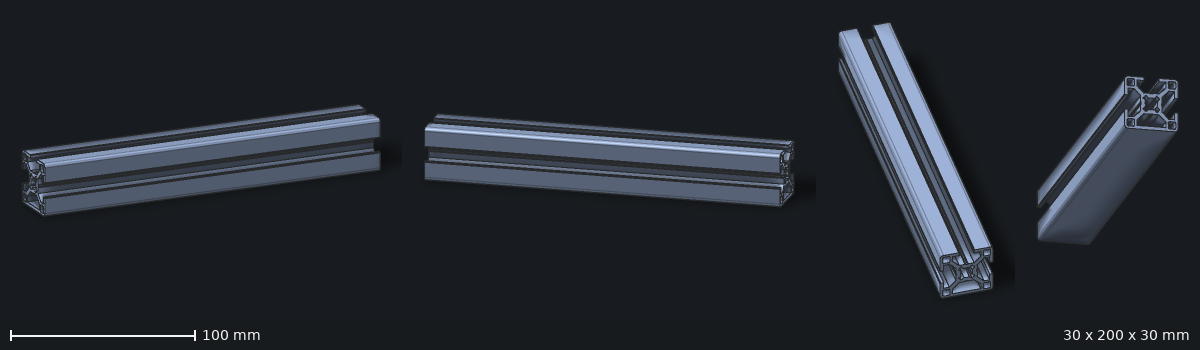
import cadquery as cq

length = 200.0
side = 30.0
half = side / 2
corner_radius = 2.0

wall = 2.0
slot_opening = 8.2
lip_chamfer = 0.5
slot_half_width = 8.0
core_half = 6.0
rib_offset = 1.8

groove_width = 1.8
groove_depth = 0.2
groove_bottom_width = 0.8

bore_radius = 3.5
relief_span = 10.8
relief_width = 2.2

corner_hole_inset = 1.5
corner_hole_side = 4.2
corner_hole_radius = 1.0

section = cq.Workplane("XZ", origin=(0, length / 2, 0))


def slot_cavity():
    """Inside of the T-slot facing +Z, bounded by two ribs, the core and the outer wall."""
    floor_half_width = core_half - rib_offset
    right_side = [
        (groove_bottom_width / 2, core_half - groove_depth),
        (groove_width / 2, core_half),
        (floor_half_width, core_half),
        (slot_half_width, slot_half_width + rib_offset),
        (slot_half_width, half - wall),
    ]
    left_side = [(-x, z) for x, z in reversed(right_side)]
    return section.polyline(right_side + left_side).close().extrude(length)


def slot_mouth():
    """Gap between the two lips of the T-slot facing +Z, flared at its outer edges."""
    right_side = [
        (slot_opening / 2, half - wall),
        (slot_opening / 2, half - lip_chamfer),
        (slot_opening / 2 + lip_chamfer, half),
    ]
    left_side = [(-x, z) for x, z in reversed(right_side)]
    return section.polyline(right_side + left_side).close().extrude(length)


def central_bore():
    bore = section.circle(bore_radius).extrude(length)
    for angle in (45, 135):
        relief = section.rect(relief_span, relief_width).extrude(length)
        bore = bore.union(relief.rotate((0, 0, 0), (0, 1, 0), angle))
    return bore


def corner_holes():
    centre = half - corner_hole_inset - corner_hole_side / 2
    return (
        section.rect(2 * centre, 2 * centre, forConstruction=True)
        .vertices()
        .rect(corner_hole_side, corner_hole_side)
        .extrude(length)
        .edges("|Y")
        .fillet(corner_hole_radius)
    )


profile = section.rect(side, side).extrude(length).edges("|Y").fillet(corner_radius)

for angle in (0, 90, 180, 270):
    profile = profile.cut(slot_cavity().rotate((0, 0, 0), (0, 1, 0), angle))

for angle in (-90, 0, 90):
    profile = profile.cut(slot_mouth().rotate((0, 0, 0), (0, 1, 0), angle))

result = profile.cut(central_bore()).cut(corner_holes())